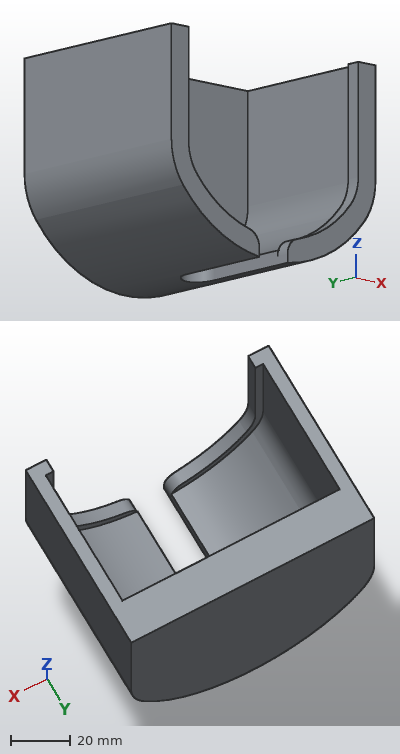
import cadquery as cq
import math

half_width = 47.0
depth = 72.94
height = 75.0
corner_radius = 24.0
side_height = 40.0

wall = 5.0
lip_wall = 8.0
lip_length = 5.0
back_wall = 15.0

slot_width = 13.0
slot_end_to_cavity_back = 15.0
slot_length = depth - back_wall - slot_end_to_cavity_back
lip_round_radius = 6.0

corner_x = half_width - corner_radius
drop = height - side_height
bottom_radius = (corner_x**2 + drop**2 - corner_radius**2) / (2 * (drop - corner_radius))
bottom_center_z = bottom_radius - height


def trough(inset, y_start, y_end):
    """Solid with flat sides, round corners and a curved bottom, inset from the outer shape."""
    side_x = half_width - inset
    corner_r = corner_radius - inset
    bottom_r = bottom_radius - inset
    tangent_angle = math.atan2(-side_height - bottom_center_z, corner_x)
    mid_angle = tangent_angle / 2
    tangent_x = bottom_r * math.cos(tangent_angle)
    tangent_z = bottom_center_z + bottom_r * math.sin(tangent_angle)
    corner_mid_x = corner_x + corner_r * math.cos(mid_angle)
    corner_mid_z = -side_height + corner_r * math.sin(mid_angle)
    return (
        cq.Workplane("XZ", origin=(0, y_start, 0))
        .moveTo(-side_x, 0)
        .lineTo(-side_x, -side_height)
        .threePointArc((-corner_mid_x, corner_mid_z), (-tangent_x, tangent_z))
        .threePointArc((0, bottom_center_z - bottom_r), (tangent_x, tangent_z))
        .threePointArc((corner_mid_x, corner_mid_z), (side_x, -side_height))
        .lineTo(side_x, 0)
        .close()
        .extrude(y_start - y_end)
    )


def slot():
    """Vertical cutter with a round inner end."""
    radius = slot_width / 2
    straight = slot_length - radius
    return (
        cq.Workplane("XY", origin=(0, 0, -height))
        .moveTo(-radius, 0)
        .lineTo(-radius, straight)
        .threePointArc((0, slot_length), (radius, straight))
        .lineTo(radius, 0)
        .close()
        .extrude(height)
    )


def lip_round(side):
    """Cutter that rounds the lip into the slot; side is -1 or 1."""
    slot_x = slot_width / 2
    lip_radius = bottom_radius - lip_wall
    center_x = slot_x + lip_round_radius
    center_distance = lip_radius + lip_round_radius
    center_z = bottom_center_z - math.sqrt(center_distance**2 - center_x**2)
    tangent_x = center_x * lip_radius / center_distance
    tangent_z = bottom_center_z + (center_z - bottom_center_z) * lip_radius / center_distance
    mid_angle = (math.pi + math.atan2(tangent_z - center_z, tangent_x - center_x)) / 2
    mid_x = center_x + lip_round_radius * math.cos(mid_angle)
    mid_z = center_z + lip_round_radius * math.sin(mid_angle)
    return (
        cq.Workplane("XZ")
        .moveTo(side * slot_x, center_z)
        .threePointArc((side * mid_x, mid_z), (side * tangent_x, tangent_z))
        .lineTo(side * slot_x, bottom_center_z)
        .close()
        .extrude(-lip_length)
    )


body = trough(0, 0, depth)
body = body.cut(trough(wall, lip_length, depth - back_wall))
body = body.cut(trough(lip_wall, 0, lip_length))
body = body.cut(slot())
for side in (-1, 1):
    body = body.cut(lip_round(side))

result = body